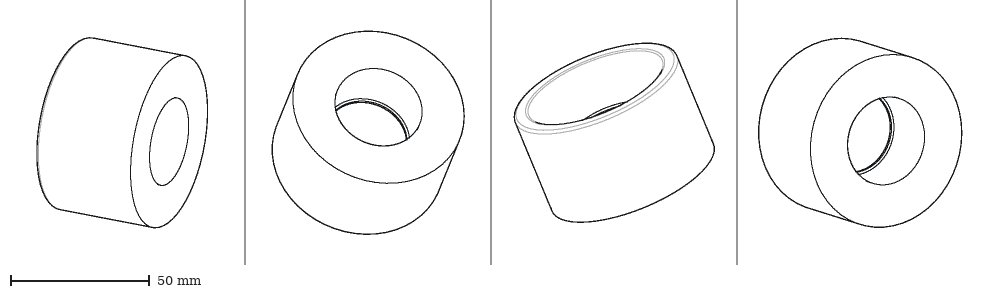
import cadquery as cq

length = 38.0
outer_diameter = 63.0
mouth_diameter = 52.65
throat_diameter = 30.0
socket_diameter = 32.0
socket_start = 16.0
throat_land = 1.0
outer_edge_radius = 1.0
mouth_edge_radius = 1.0

outer_radius = outer_diameter / 2
throat_radius = throat_diameter / 2
socket_radius = socket_diameter / 2
flare_end = socket_start - throat_land


def make_body():
    """Solid cylinder with its mouth-end rim rounded."""
    body = cq.Workplane("YZ").circle(outer_radius).extrude(length)
    return body.faces("<X").edges().fillet(outer_edge_radius)


def make_passage():
    """Conical flare, short throat land and pipe socket as one cutter."""
    profile = [
        (0, 0),
        (0, mouth_diameter / 2),
        (flare_end, throat_radius),
        (socket_start, throat_radius),
        (socket_start, socket_radius),
        (length, socket_radius),
        (length, 0),
    ]
    return cq.Workplane("XY").polyline(profile).close().revolve(360, (0, 0, 0), (1, 0, 0))


bush = make_body().cut(make_passage())

mouth_rim = bush.faces("<X").edges(cq.selectors.RadiusNthSelector(0))
result = mouth_rim.fillet(mouth_edge_radius)